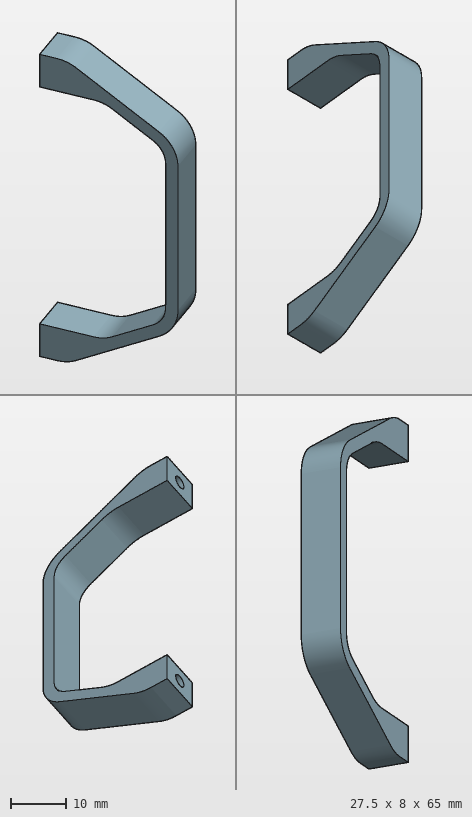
import cadquery as cq
import math

reach = 27.5
width = 8.0
length = 65.0

bar_thickness = 2.5
foot_height = 7.0
leg_angle = math.radians(30)
outer_shoulder_x = 5.5
foot_bend_radius = 7.5
grip_outer_radius = 7.5
grip_inner_radius = grip_outer_radius - bar_thickness

hole_diameter = 2.6
hole_depth = 6.5

half_length = length / 2
foot_inner_z = half_length - foot_height
grip_inner_x = reach - bar_thickness
leg_slope = math.tan(leg_angle)
leg_thickness_z = bar_thickness / math.cos(leg_angle)

inner_shoulder_x = outer_shoulder_x + (foot_height - leg_thickness_z) / leg_slope
grip_outer_z = half_length - (reach - outer_shoulder_x) * leg_slope
grip_inner_z = foot_inner_z - (grip_inner_x - inner_shoulder_x) * leg_slope


def round_corners(body, x, z, radius):
    """Round the pair of mirrored edges along Y at (x, +z) and (x, -z)."""
    reach_around = 0.05
    for side_z in (z, -z):
        box = cq.selectors.BoxSelector(
            (x - reach_around, -width, side_z - reach_around),
            (x + reach_around, width, side_z + reach_around),
        )
        body = body.edges(box).fillet(radius)
    return body


upper_outer = [(0, half_length), (outer_shoulder_x, half_length), (reach, grip_outer_z)]
upper_inner = [(grip_inner_x, grip_inner_z), (inner_shoulder_x, foot_inner_z), (0, foot_inner_z)]
lower_outer = [(x, -z) for x, z in reversed(upper_outer)]
lower_inner = [(x, -z) for x, z in reversed(upper_inner)]
outline = upper_outer + lower_outer + lower_inner + upper_inner
result = cq.Workplane("XZ").polyline(outline).close().extrude(width / 2, both=True)

result = round_corners(result, outer_shoulder_x, half_length, foot_bend_radius)
result = round_corners(result, inner_shoulder_x, foot_inner_z, foot_bend_radius)
result = round_corners(result, reach, grip_outer_z, grip_outer_radius)
result = round_corners(result, grip_inner_x, grip_inner_z, grip_inner_radius)

hole_z = half_length - foot_height / 2
holes = (
    cq.Workplane("YZ")
    .pushPoints([(0, hole_z), (0, -hole_z)])
    .circle(hole_diameter / 2)
    .extrude(hole_depth)
)
result = result.cut(holes)